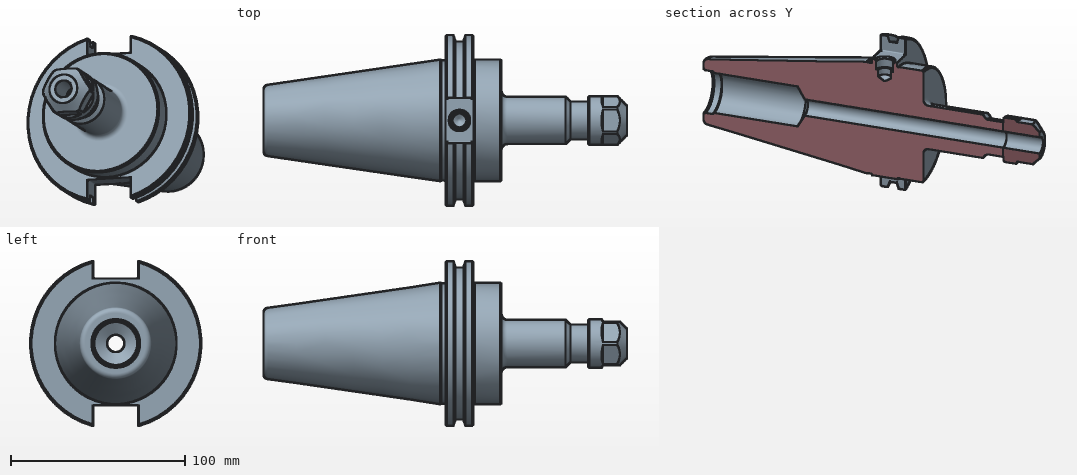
import cadquery as cq
import math

TOLERANCE = 0.02

TAPER_LENGTH = 101.5
TAPER_LARGE_DIA = 70.0
TAPER_PER_LENGTH = 7 / 24
TAPER_SMALL_DIA = TAPER_LARGE_DIA - TAPER_PER_LENGTH * TAPER_LENGTH
TAPER_END_FILLET = 3.1

RELIEF_DIA = 69.3
RELIEF_STEP = (TAPER_LARGE_DIA - RELIEF_DIA) / 2
TAPER_SHOULDER_LENGTH = 0.8
RELIEF_FILLET = 0.6
FLANGE_START = 104.5
FLANGE_WIDTH = 15.9
FLANGE_END = FLANGE_START + FLANGE_WIDTH
FLANGE_MIDDLE = FLANGE_START + FLANGE_WIDTH / 2
FLANGE_DIA = 98.3
FLANGE_CHAMFER = 0.8
COLLAR_END = 136.8
COLLAR_DIA = TAPER_LARGE_DIA
COLLAR_CHAMFER = 0.8

GROOVE_BOTTOM_DIA = 91.0
GROOVE_BOTTOM_WIDTH = 4.4
GROOVE_TOP_WIDTH = 7.0

SLOT_WIDTH = 25.7
SLOT_EDGE_CHAMFER = 0.5
SLOT_FLOOR_FILLET = 0.6
UPPER_SLOT_HEIGHT = 37.4
LOWER_SLOT_HEIGHT = 35.5

SLOT_HOLE_MOUTH_DIA = 12.3
SLOT_HOLE_DIA = 10.2
SLOT_HOLE_DEPTH = 6.3
PILOT_DIA = 8.0
PILOT_DEPTH = 10.5
DRILL_POINT_ANGLE = 118.0

SHANK_DIA = 27.4
SHANK_FILLET = 3.1
SPIGOT_START = 176.2
SPIGOT_DIA = 22.0
SPIGOT_CHAMFER = (SHANK_DIA - SPIGOT_DIA) / 2

MOUTH_DIA = 28.0
MOUTH_CHAMFER_LENGTH = 1.5
PILOT_BORE_DIA = 26.3
PILOT_BORE_END = 5.8
MAIN_BORE_DIA = 24.6
MAIN_BORE_START = PILOT_BORE_END + (PILOT_BORE_DIA - MAIN_BORE_DIA) / 2
MAIN_BORE_END = 58.5
THROUGH_DIA = 9.8

NUT_START = 186.2
NUT_END = 208.8
NUT_DIA = 28.0
NUT_REAR_CHAMFER = 0.8
NUT_FACE_DIA = 16.7
NUT_FRONT_CHAMFER = (NUT_DIA - NUT_FACE_DIA) / 2
FLATS_START = 195.0
FLATS_WIDTH = 25.0
FLAT_COUNT = 6
FLAT_RAMP_LENGTH = 1.0


def drill_point_length(diameter):
    return diameter / 2 / math.tan(math.radians(DRILL_POINT_ANGLE / 2))


def revolve_about_x(outline):
    """Turn a closed outline of (x, radius) about the X axis."""
    return outline.close().revolve(360, (0, 0, 0), (1, 0, 0))


def turned_body():
    """Taper, flange, collar, shank and spigot as one turned solid."""
    taper_r = TAPER_LARGE_DIA / 2
    relief_r = RELIEF_DIA / 2
    flange_r = FLANGE_DIA / 2
    collar_r = COLLAR_DIA / 2
    shank_r = SHANK_DIA / 2
    spigot_r = SPIGOT_DIA / 2
    outline = (
        cq.Workplane("XY")
        .lineTo(0, TAPER_SMALL_DIA / 2)
        .lineTo(TAPER_LENGTH, taper_r)
        .lineTo(TAPER_LENGTH + TAPER_SHOULDER_LENGTH, relief_r)
        .lineTo(FLANGE_START - RELIEF_FILLET, relief_r)
        .radiusArc((FLANGE_START, relief_r + RELIEF_FILLET), -RELIEF_FILLET)
        .lineTo(FLANGE_START, flange_r - FLANGE_CHAMFER)
        .lineTo(FLANGE_START + FLANGE_CHAMFER, flange_r)
        .lineTo(FLANGE_END - FLANGE_CHAMFER, flange_r)
        .lineTo(FLANGE_END, flange_r - FLANGE_CHAMFER)
        .lineTo(FLANGE_END, relief_r + RELIEF_FILLET)
        .radiusArc((FLANGE_END + RELIEF_FILLET, relief_r), -RELIEF_FILLET)
        .lineTo(FLANGE_END + RELIEF_FILLET + RELIEF_STEP, collar_r)
        .lineTo(COLLAR_END - COLLAR_CHAMFER, collar_r)
        .lineTo(COLLAR_END, collar_r - COLLAR_CHAMFER)
        .lineTo(COLLAR_END, shank_r + SHANK_FILLET)
        .radiusArc((COLLAR_END + SHANK_FILLET, shank_r), -SHANK_FILLET)
        .lineTo(SPIGOT_START - SPIGOT_CHAMFER, shank_r)
        .lineTo(SPIGOT_START, spigot_r)
        .lineTo(NUT_START, spigot_r)
        .lineTo(NUT_START, 0)
    )
    return revolve_about_x(outline).faces("<X").edges().fillet(TAPER_END_FILLET)


def flange_groove():
    flange_r = FLANGE_DIA / 2
    bottom_r = GROOVE_BOTTOM_DIA / 2
    bottom_half = GROOVE_BOTTOM_WIDTH / 2
    top_half = GROOVE_TOP_WIDTH / 2
    outline = cq.Workplane("XY").polyline([
        (FLANGE_MIDDLE - bottom_half, bottom_r),
        (FLANGE_MIDDLE + bottom_half, bottom_r),
        (FLANGE_MIDDLE + top_half, flange_r),
        (FLANGE_MIDDLE - top_half, flange_r),
    ])
    return revolve_about_x(outline)


def drive_slots():
    """Slots above and below the axis, each from its floor out past the flange."""
    slots = cq.Workplane("XY")
    for floor_height, direction in ((UPPER_SLOT_HEIGHT, 1), (LOWER_SLOT_HEIGHT, -1)):
        slot = (
            cq.Workplane("XY", origin=(FLANGE_MIDDLE, 0, direction * floor_height))
            .rect(FLANGE_WIDTH, SLOT_WIDTH)
            .extrude(direction * FLANGE_DIA / 2)
        )
        slots = slots.add(slot)
    return slots.combine()


def on_slot_wall(edge):
    box = edge.BoundingBox()
    return box.ylen < TOLERANCE and abs(abs(box.center.y) - SLOT_WIDTH / 2) < TOLERANCE


def on_slot_floor(edge):
    box = edge.BoundingBox()
    return -LOWER_SLOT_HEIGHT - TOLERANCE < box.zmin and box.zmax < UPPER_SLOT_HEIGHT + TOLERANCE


def slotted_body():
    """Turned body with its drive slots: chamfered rims on the walls, fillets along the floors."""
    body = turned_body().cut(drive_slots())
    rims = [edge for edge in body.edges().vals() if on_slot_wall(edge) and not on_slot_floor(edge)]
    body = body.newObject(rims).chamfer(SLOT_EDGE_CHAMFER)
    corners = [edge for edge in body.edges().vals() if on_slot_wall(edge) and on_slot_floor(edge)]
    return body.newObject(corners).fillet(SLOT_FLOOR_FILLET)


def slot_hole():
    """Blind stepped hole with a countersink and a drill point, down from the upper slot floor."""
    mouth_r = SLOT_HOLE_MOUTH_DIA / 2
    hole_r = SLOT_HOLE_DIA / 2
    pilot_r = PILOT_DIA / 2
    outline = (
        cq.Workplane("XZ", origin=(FLANGE_MIDDLE, 0, UPPER_SLOT_HEIGHT))
        .lineTo(mouth_r, 0)
        .lineTo(hole_r, hole_r - mouth_r)
        .lineTo(hole_r, -SLOT_HOLE_DEPTH)
        .lineTo(pilot_r, -SLOT_HOLE_DEPTH)
        .lineTo(pilot_r, -PILOT_DEPTH)
        .lineTo(0, -PILOT_DEPTH - drill_point_length(PILOT_DIA))
    )
    return outline.close().revolve(360, (0, 0, 0), (0, 1, 0))


def holder_bore():
    main_r = MAIN_BORE_DIA / 2
    through_r = THROUGH_DIA / 2
    cone_length = drill_point_length(MAIN_BORE_DIA) - drill_point_length(THROUGH_DIA)
    outline = (
        cq.Workplane("XY")
        .lineTo(0, MOUTH_DIA / 2)
        .lineTo(MOUTH_CHAMFER_LENGTH, PILOT_BORE_DIA / 2)
        .lineTo(PILOT_BORE_END, PILOT_BORE_DIA / 2)
        .lineTo(MAIN_BORE_START, main_r)
        .lineTo(MAIN_BORE_END, main_r)
        .lineTo(MAIN_BORE_END + cone_length, through_r)
        .lineTo(NUT_START, through_r)
        .lineTo(NUT_START, 0)
    )
    return revolve_about_x(outline)


def make_holder():
    return slotted_body().cut(flange_groove()).cut(slot_hole()).cut(holder_bore())


def turned_nut():
    nut_r = NUT_DIA / 2
    through_r = THROUGH_DIA / 2
    outline = cq.Workplane("XY").polyline([
        (NUT_START, through_r),
        (NUT_START, nut_r - NUT_REAR_CHAMFER),
        (NUT_START + NUT_REAR_CHAMFER, nut_r),
        (NUT_END - NUT_FRONT_CHAMFER, nut_r),
        (NUT_END, NUT_FACE_DIA / 2),
        (NUT_END, through_r),
    ])
    return revolve_about_x(outline)


def flat_cutter():
    """Material above the +Z wrench flat, with a ramp where the flat runs out into the round."""
    nut_r = NUT_DIA / 2
    flat_height = FLATS_WIDTH / 2
    return (
        cq.Workplane("XZ")
        .polyline([
            (FLATS_START, flat_height),
            (NUT_END, flat_height),
            (NUT_END, nut_r),
            (FLATS_START - FLAT_RAMP_LENGTH, nut_r),
        ])
        .close()
        .extrude(nut_r, both=True)
    )


def make_nut():
    nut = turned_nut()
    for index in range(FLAT_COUNT):
        angle = index * 360 / FLAT_COUNT
        nut = nut.cut(flat_cutter().rotate((0, 0, 0), (1, 0, 0), angle))
    return nut


holder = make_holder()
nut = make_nut()

result = cq.Compound.makeCompound([holder.val(), nut.val()])